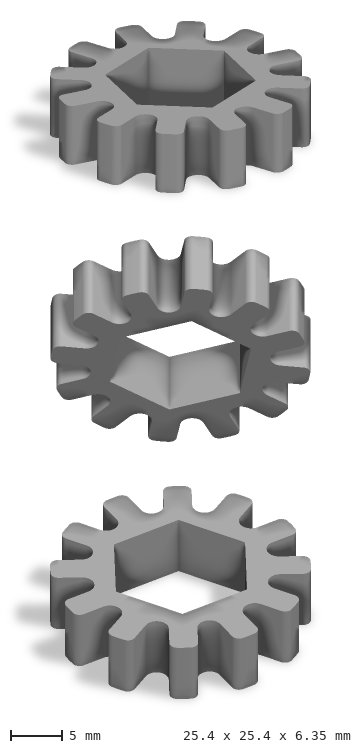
import cadquery as cq
import math

outer_diameter = 25.4
thickness = 6.35
tooth_count = 12
tooth_width = 2.8
gap_center_radius = 9.98
tip_fillet = 0.75
hex_across_flats = 12.78

outer_radius = outer_diameter / 2
pitch_angle = 360 / tooth_count
half_pitch = math.radians(pitch_angle / 2)
gap_floor_radius = gap_center_radius * math.sin(half_pitch) - tooth_width / 2
hex_across_corners = hex_across_flats / math.cos(math.pi / 6)


def make_gap(angle):
    """Round-bottomed gap cutter, opening outward along the given angle in degrees."""
    tangent_x = gap_center_radius - gap_floor_radius * math.sin(half_pitch)
    tangent_y = gap_floor_radius * math.cos(half_pitch)
    mouth_x = outer_diameter
    mouth_y = tangent_y + (mouth_x - tangent_x) * math.tan(half_pitch)
    return (
        cq.Workplane("XY")
        .moveTo(mouth_x, -mouth_y)
        .lineTo(tangent_x, -tangent_y)
        .threePointArc((gap_center_radius - gap_floor_radius, 0), (tangent_x, tangent_y))
        .lineTo(mouth_x, mouth_y)
        .close()
        .extrude(thickness)
        .rotate((0, 0, 0), (0, 0, 1), angle)
    )


gear = cq.Workplane("XY").circle(outer_radius).extrude(thickness)
for index in range(tooth_count):
    gear = gear.cut(make_gap((index + 0.5) * pitch_angle))

tip_edges = [
    edge
    for edge in gear.edges("|Z").vals()
    if math.hypot(edge.Center().x, edge.Center().y) > outer_radius - tip_fillet
]
gear = gear.newObject(tip_edges).fillet(tip_fillet)

bore = cq.Workplane("XY").polygon(6, hex_across_corners).extrude(thickness)
result = gear.cut(bore)